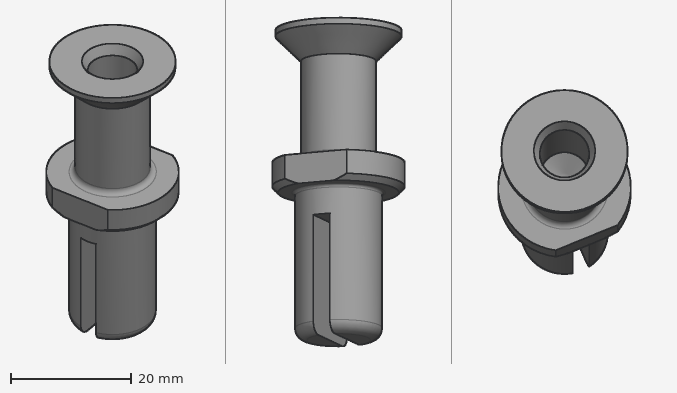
import cadquery as cq
import math

total_length = 52.5
head_rim_height = 1.05
neck_top = 47.25
collar_top = 30.05
collar_bottom = 25.0
slot_top = 20.0

head_radius = 10.5
neck_radius = 6.25
collar_radius = 11.0
shank_radius = 7.25
neck_fillet = 1.0
shank_fillet = 0.5
collar_chamfer = 1.0
tip_fillet = 2.0

flat_distance = 19.0
slot_width = 3.0

bore_radius = 4.1
bore_mouth_radius = 5.1
bore_depth = 15.75
drill_point_angle = 120.0
countersink_angle = 60.0


def turned_body():
    """Head, neck, collar and shank as one solid of revolution."""
    profile = (
        cq.Workplane("XZ")
        .moveTo(0, 0)
        .lineTo(shank_radius - tip_fillet, 0)
        .radiusArc((shank_radius, tip_fillet), -tip_fillet)
        .lineTo(shank_radius, collar_bottom - shank_fillet)
        .radiusArc((shank_radius + shank_fillet, collar_bottom), shank_fillet)
        .lineTo(collar_radius - collar_chamfer, collar_bottom)
        .lineTo(collar_radius, collar_bottom + collar_chamfer)
        .lineTo(collar_radius, collar_top)
        .lineTo(neck_radius + neck_fillet, collar_top)
        .radiusArc((neck_radius, collar_top + neck_fillet), neck_fillet)
        .lineTo(neck_radius, neck_top)
        .lineTo(head_radius, total_length - head_rim_height)
        .lineTo(head_radius, total_length)
        .lineTo(0, total_length)
        .close()
    )
    return profile.revolve(360, (0, 0, 0), (0, 1, 0))


def collar_flat(side):
    """Material removed from one Y side of the collar to leave a flat."""
    collar_height = collar_top - collar_bottom
    depth = collar_radius
    return cq.Workplane("XY").box(
        2 * collar_radius, depth, collar_height, centered=(True, True, False)
    ).translate((0, side * (flat_distance + depth) / 2, collar_bottom))


def shank_slot():
    """Slot through the shank along Y, open at the tip."""
    return cq.Workplane("XY").box(
        slot_width, 2 * collar_radius, slot_top, centered=(True, True, False)
    )


def cone_depth(radial_width, included_angle):
    """Axial length of a cone spanning the given radial width."""
    return radial_width / math.tan(math.radians(included_angle / 2))


def head_bore():
    """Countersunk blind bore with a drill-point bottom."""
    countersink_depth = cone_depth(bore_mouth_radius - bore_radius, countersink_angle)
    bore_cone_depth = cone_depth(bore_radius, drill_point_angle)
    bore_floor = total_length - bore_depth
    profile = (
        cq.Workplane("XZ")
        .moveTo(0, bore_floor - bore_cone_depth)
        .lineTo(bore_radius, bore_floor)
        .lineTo(bore_radius, total_length - countersink_depth)
        .lineTo(bore_mouth_radius, total_length)
        .lineTo(0, total_length)
        .close()
    )
    return profile.revolve(360, (0, 0, 0), (0, 1, 0))


result = turned_body()
for side in (-1, 1):
    result = result.cut(collar_flat(side))
result = result.cut(shank_slot()).cut(head_bore())